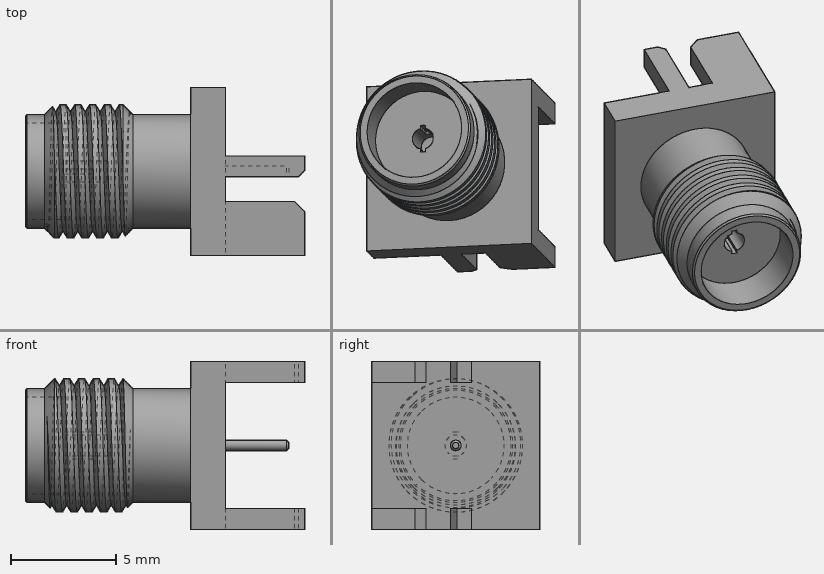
import cadquery as cq
TOTAL_LENGTH = 13.3
FLANGE_SIDE = 8.0
FLANGE_FRONT_X = 7.86
FLANGE_BACK_X = 9.52

BARREL_RADIUS = 2.71
NOSE_CHAMFER = 0.08
THREAD_RADIUS = 3.18
COLLAR_START_X = 0.9
COLLAR_END_X = 5.11

THREAD_PITCH = 0.7
GROOVE_WIDTH = 0.41
GROOVE_DEPTH = 0.35
GROOVE_START_X = 0.2
GROOVE_TURNS = 8
GROOVE_OVERCUT = 0.05

BORE_RADIUS = 2.3
BORE_DEPTH = 1.92
CONTACT_RADIUS = 0.65
CONTACT_HOLE_RADIUS = 0.5
CONTACT_HOLE_DEPTH = 2.0
CONTACT_SLOT_WIDTH = 0.24
CONTACT_SLOT_DEPTH = 1.33

LEG_THICKNESS = 1.01
NARROW_LEG_TOP_Y = 0.75
NARROW_LEG_BOTTOM_Y = -0.25
NARROW_LEG_CHAMFER = 0.3
WIDE_LEG_TOP_Y = -1.42
WIDE_LEG_CHAMFER = 0.5

PIN_RADIUS = 0.25
PIN_END_X = 12.53
PIN_CHAMFER = 0.1


def cylinder_along_x(radius, start_x, end_x):
    return cq.Workplane("YZ").workplane(offset=start_x).circle(radius).extrude(end_x - start_x)


def make_thread_groove():
    """Helical V cutter whose base stands slightly proud of the thread crests."""
    root_radius = THREAD_RADIUS - GROOVE_DEPTH
    cutter_height = GROOVE_DEPTH + GROOVE_OVERCUT
    half_width = GROOVE_WIDTH / 2 * cutter_height / GROOVE_DEPTH
    helix = cq.Wire.makeHelix(
        THREAD_PITCH,
        GROOVE_TURNS * THREAD_PITCH,
        root_radius,
        cq.Vector(GROOVE_START_X, 0, 0),
        cq.Vector(1, 0, 0),
    )
    v_profile = (
        cq.Workplane("XZ")
        .moveTo(GROOVE_START_X, root_radius)
        .lineTo(GROOVE_START_X + half_width, root_radius + cutter_height)
        .lineTo(GROOVE_START_X - half_width, root_radius + cutter_height)
        .close()
    )
    return v_profile.sweep(cq.Workplane(obj=helix), isFrenet=True)


def make_barrel():
    """Turned barrel with the thread running out through both collar chamfers."""
    collar_chamfer = THREAD_RADIUS - BARREL_RADIUS
    outline = [
        (0, 0),
        (0, BARREL_RADIUS - NOSE_CHAMFER),
        (NOSE_CHAMFER, BARREL_RADIUS),
        (COLLAR_START_X, BARREL_RADIUS),
        (COLLAR_START_X + collar_chamfer, THREAD_RADIUS),
        (COLLAR_END_X - collar_chamfer, THREAD_RADIUS),
        (COLLAR_END_X, BARREL_RADIUS),
        (FLANGE_FRONT_X, BARREL_RADIUS),
        (FLANGE_FRONT_X, 0),
    ]
    turned = cq.Workplane("XY").polyline(outline).close().revolve(360, (0, 0, 0), (1, 0, 0))
    threaded_rod = cylinder_along_x(THREAD_RADIUS, -THREAD_PITCH, FLANGE_BACK_X).cut(make_thread_groove())
    return threaded_rod.intersect(turned)


def make_flange_with_legs():
    """Flange and legs share one outline, extruded over the full height and hollowed between the legs."""
    narrow_chamfer_x = TOTAL_LENGTH - NARROW_LEG_CHAMFER
    wide_chamfer_x = TOTAL_LENGTH - WIDE_LEG_CHAMFER
    half_side = FLANGE_SIDE / 2
    outline = [
        (FLANGE_FRONT_X, half_side),
        (FLANGE_BACK_X, half_side),
        (FLANGE_BACK_X, NARROW_LEG_TOP_Y),
        (TOTAL_LENGTH, NARROW_LEG_TOP_Y),
        (TOTAL_LENGTH, NARROW_LEG_BOTTOM_Y + NARROW_LEG_CHAMFER),
        (narrow_chamfer_x, NARROW_LEG_BOTTOM_Y),
        (FLANGE_BACK_X, NARROW_LEG_BOTTOM_Y),
        (FLANGE_BACK_X, WIDE_LEG_TOP_Y),
        (wide_chamfer_x, WIDE_LEG_TOP_Y),
        (TOTAL_LENGTH, WIDE_LEG_TOP_Y - WIDE_LEG_CHAMFER),
        (TOTAL_LENGTH, -half_side),
        (FLANGE_FRONT_X, -half_side),
    ]
    body = cq.Workplane("XY").polyline(outline).close().extrude(half_side, both=True)
    leg_length = TOTAL_LENGTH - FLANGE_BACK_X
    gap = cq.Workplane("XY").box(
        leg_length,
        FLANGE_SIDE,
        FLANGE_SIDE - 2 * LEG_THICKNESS,
    )
    return body.cut(gap.translate((FLANGE_BACK_X + leg_length / 2, 0, 0)))


def make_pin():
    return cylinder_along_x(PIN_RADIUS, FLANGE_FRONT_X, PIN_END_X).faces(">X").chamfer(PIN_CHAMFER)


def make_socket():
    """Open bore whose floor has a contact hole with two shallower side slots."""
    hole_end_x = BORE_DEPTH + CONTACT_HOLE_DEPTH
    bore = cylinder_along_x(BORE_RADIUS, 0, BORE_DEPTH)
    contact_hole = cylinder_along_x(CONTACT_HOLE_RADIUS, BORE_DEPTH, hole_end_x)
    slots = (
        cq.Workplane("YZ")
        .workplane(offset=BORE_DEPTH)
        .rect(CONTACT_SLOT_WIDTH, 2 * CONTACT_RADIUS)
        .extrude(CONTACT_SLOT_DEPTH)
        .intersect(cylinder_along_x(CONTACT_RADIUS, BORE_DEPTH, hole_end_x))
    )
    return bore.union(contact_hole).union(slots)


result = make_barrel().union(make_flange_with_legs()).union(make_pin()).cut(make_socket())